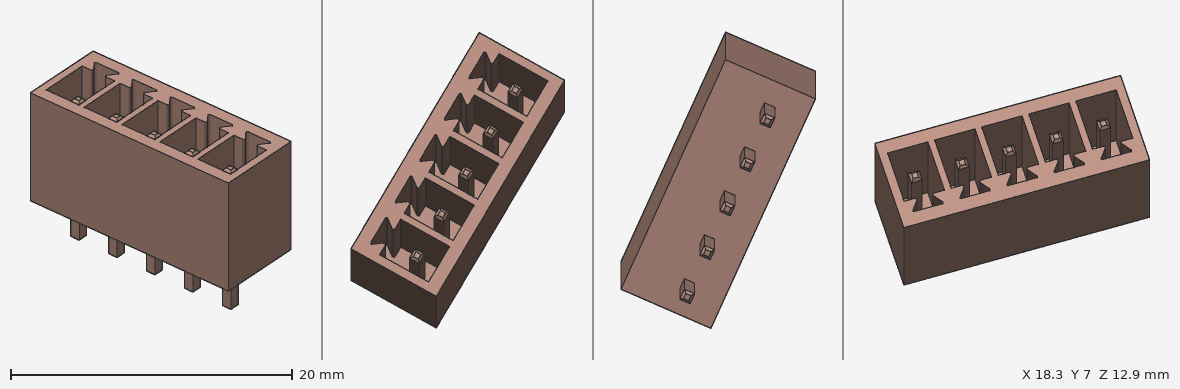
import cadquery as cq

body_length = 18.3
body_width = 7.0
body_height = 9.2

contact_count = 5
end_margin = 2.15
pitch = (body_length - 2 * end_margin) / (contact_count - 1)
contact_y = 2.8

pin_side = 0.8
pin_bevel = 0.2
pin_tail = 3.7
pin_recess = 1.0

floor_thickness = 1.1
chamber_width = 3.0
chamber_front_y = 1.0
chamber_back_y = 5.01
keyway_back_y = 6.0
neck_width = 1.2
neck_length = 0.18
keyway_width = 2.23
keyway_edge = 0.13
corner_radius = 0.1

contact_xs = [(i - (contact_count - 1) / 2) * pitch for i in range(contact_count)]


def make_housing():
    """Solid block, centred on X, front face on Y = 0, underside on Z = 0."""
    return cq.Workplane("XY").box(body_length, body_width, body_height, centered=(True, False, False))


def make_cavity(x):
    """Cavity volume for one contact, from the floor to the top, with its keyway corners rounded."""
    right_half = [
        (chamber_width / 2, chamber_front_y),
        (chamber_width / 2, chamber_back_y),
        (neck_width / 2, chamber_back_y),
        (neck_width / 2, chamber_back_y + neck_length),
        (keyway_width / 2, keyway_back_y - keyway_edge),
        (keyway_width / 2, keyway_back_y),
    ]
    left_half = [(-px, py) for px, py in reversed(right_half)]
    cavity = (
        cq.Workplane("XY", origin=(x, 0, floor_thickness))
        .polyline(right_half + left_half)
        .close()
        .extrude(body_height - floor_thickness)
    )
    mid_height = (floor_thickness + body_height) / 2
    for half_width, corner_y in ((neck_width / 2, chamber_back_y), (keyway_width / 2, keyway_back_y)):
        for corner_x in (x - half_width, x + half_width):
            corner = cq.selectors.NearestToPointSelector((corner_x, corner_y, mid_height))
            cavity = cavity.edges(corner).fillet(corner_radius)
    return cavity


def make_pin(x):
    """Square pin through the floor, bevelled on all four sides at both ends."""
    pin_length = pin_tail + body_height - pin_recess
    return (
        cq.Workplane("XY", origin=(x, contact_y, -pin_tail))
        .rect(pin_side, pin_side)
        .extrude(pin_length)
        .faces("<Z or >Z")
        .chamfer(pin_bevel)
    )


result = make_housing()
for contact_x in contact_xs:
    result = result.cut(make_cavity(contact_x))
for contact_x in contact_xs:
    result = result.union(make_pin(contact_x))